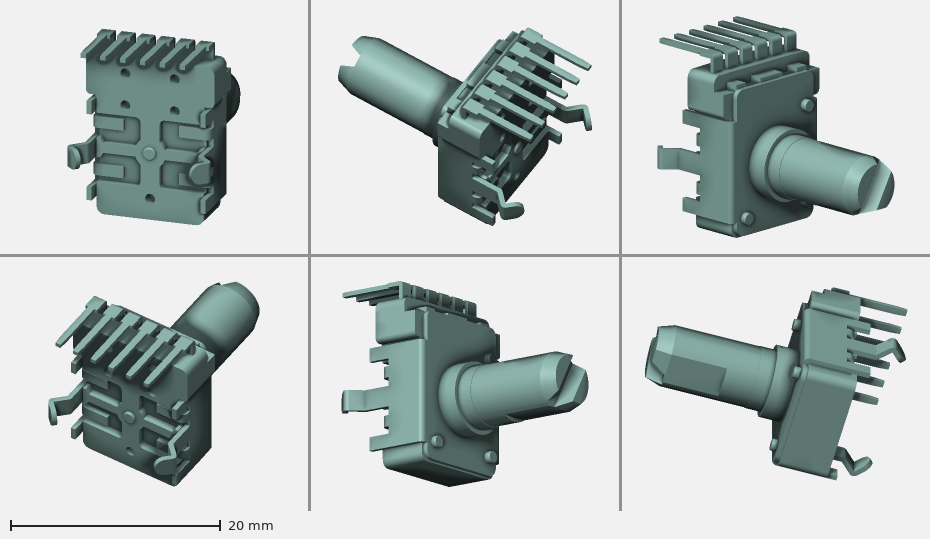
import cadquery as cq
import math


BODY_BACK = 4.8
SHEET = 0.5
COVER_BACK = BODY_BACK + SHEET
COLLAR_END = 7.33
SLEEVE_END = 8.83
SHAFT_TIP = 18.8

HEAD_HALF_WIDTH = 6.5
HEAD_TOP = 9.4
SHOULDER_TOP = 9.38
SHOULDER_START = 4.6
HEAD_BOTTOM = 5.3
HEAD_TOP_RADIUS = 0.8
HEAD_BOTTOM_RADIUS = 0.5
NECK_HALF_WIDTH = 5.5
BASE_HALF_WIDTH = 5.4
BASE_BOTTOM = -6.7
BASE_RADIUS = 0.79

LEDGE_START = 3.52
LEDGE_HIGH = 8.47
LEDGE_LOW = 7.83
LEDGE_GROOVE = 7.52
LEDGE_GROOVE_OUTER = 4.97
LEDGE_GROOVE_INNER = 4.75
LEDGE_NOTCH_OUTER = 3.47
LEDGE_NOTCH_INNER = 1.48

HOLE_DIAMETER = 1.0
HOLE_DEPTH = 1.43
HOLE_CENTERS = [(-2.5, 7.8), (2.5, 7.8), (-2.5, 4.57), (2.5, 4.57), (0, -4.6)]
HUB_DIAMETER = 1.3
HUB_TIP_DIAMETER = 1.0
HUB_HEIGHT = 0.3

POCKET_DEPTH = 0.79
POCKET_INNER_X = 0.98
POCKET_FAR_Z = 3.5
POCKET_NEAR_Z = 0.5
POCKET_EDGE_Z = 1.0
POCKET_SLOPE_INNER_X = 4.71
POCKET_SLOPE_OUTER_X = 5.05
POCKET_RADIUS = 0.5
HUB_CLEARANCE_RADIUS = 1.57

COVER_HALF_WIDTH = NECK_HALF_WIDTH + SHEET
COVER_HALF_HEIGHT = 5.02
SIDE_EDGE = 1.17
LEG_END = -1.17
LEG_INNER_Z = 3.7
TONGUE_HALF_WIDTH = 5.21
TONGUE_TOP = 8.05
TONGUE_TOP_RADIUS = 0.79
TONGUE_BOTTOM = -6.52
TONGUE_BOTTOM_RADIUS = 1.0

FINGER_INNER_X = 2.8
FINGER_Z = 2.4
FINGER_WIDTH = 1.1
FINGER_FRONT = POCKET_DEPTH - SHEET
FINGER_BEND_RADIUS = 0.65

TAB_HALF_WIDTH = 1.0
TAB_BEND_Y = -1.71
TAB_SPAN = 14.4
TAB_REACH = TAB_SPAN / 2
TAB_RETURN_LENGTH = 1.74

PIN_COUNT = 6
PIN_PITCH = 2.0
PIN_TOP = 11.19
PIN_BACK = 2.62
PIN_THICKNESS = 0.43
PIN_BEND_RADIUS = 0.4
PIN_WIDE = 1.3
PIN_WIDE_END = 0.83
PIN_NARROW = 0.7
PIN_TAPER_START = -4.05
PIN_TIP_WIDTH = 0.55
OVERALL_LENGTH = 23.8
PIN_TIP = SHAFT_TIP - OVERALL_LENGTH

COLLAR_DIAMETER = 7.1
SLEEVE_DIAMETER = 6.1
SHAFT_DIAMETER = 6.0
TIP_CHAMFER = 0.5
TIP_CHAMFER_START = 17.28
FLAT_START = 11.8
FLAT_Z = -2.57
SLOT_TIP_HALF_WIDTH = 1.1
SLOT_FLOOR_HALF_WIDTH = 0.6
SLOT_ANGLE = -30.0

POST_DIAMETER = 1.2
POST_TIP_DIAMETER = 1.1
POST_BEVEL_LENGTH = 0.21
POSTS = [(-4.05, 4.78, 5.95), (-4.05, -4.78, 5.95), (4.05, -4.78, 5.85)]


def block(x_min, x_max, y_min, y_max, z_min, z_max):
    """Box between the given limits."""
    size = (x_max - x_min, y_max - y_min, z_max - z_min)
    return cq.Workplane("XY").box(*size, centered=False).translate((x_min, y_min, z_min))


def plate(half_width, y_min, y_max, z_min, z_max):
    """Box centred on X = 0."""
    return block(-half_width, half_width, y_min, y_max, z_min, z_max)


def cylinder(diameter, y_min, y_max, x=0.0, z=0.0):
    """Cylinder along Y."""
    return cq.Workplane("XZ", origin=(x, y_min, z)).circle(diameter / 2).extrude(y_min - y_max)


def cone(start_diameter, end_diameter, y_start, y_end, x=0.0, z=0.0):
    """Truncated cone along Y."""
    profile = [(0, y_start), (start_diameter / 2, y_start), (end_diameter / 2, y_end), (0, y_end)]
    turned = cq.Workplane("XY").polyline(profile).close().revolve(360, (0, 0), (0, 1))
    return turned.translate((x, 0, z))


def mirrored_points(half):
    """Points of a right half followed by their mirror images, in order round the outline."""
    return half + [(-x, z) for x, z in reversed(half)]


def make_body():
    head = plate(HEAD_HALF_WIDTH, 0, BODY_BACK, HEAD_BOTTOM, HEAD_TOP)
    head = head.edges("|Y and >Z").fillet(HEAD_TOP_RADIUS)
    shoulder = block(SHOULDER_START, HEAD_HALF_WIDTH, 0, BODY_BACK, SHOULDER_TOP, HEAD_TOP)
    head = head.cut(shoulder).cut(shoulder.mirror("YZ"))
    head = head.edges("|Y and <Z").fillet(HEAD_BOTTOM_RADIUS)
    neck = plate(NECK_HALF_WIDTH, 0, BODY_BACK, COVER_HALF_HEIGHT, HEAD_BOTTOM)
    base = plate(BASE_HALF_WIDTH, 0, BODY_BACK, BASE_BOTTOM, COVER_HALF_HEIGHT)
    base = base.edges("|Y and <Z").fillet(BASE_RADIUS)
    body = head.union(neck).union(base).cut(make_ledge_space())
    for x, z in HOLE_CENTERS:
        body = body.cut(cylinder(HOLE_DIAMETER, 0, HOLE_DEPTH, x, z))
    upper_pocket = make_pocket()
    for pocket in (upper_pocket, upper_pocket.mirror("XY")):
        body = body.cut(pocket).cut(pocket.mirror("YZ"))
    hub = cylinder(HUB_DIAMETER, -HUB_HEIGHT, 0)
    hub = hub.faces("<Y").edges().fillet((HUB_DIAMETER - HUB_TIP_DIAMETER) / 2)
    return body.union(hub)


def make_ledge_space():
    """Space above the ledge: low ends, grooves beside the high middle and two notches in it."""
    half = [
        (HEAD_HALF_WIDTH, HEAD_TOP),
        (HEAD_HALF_WIDTH, LEDGE_LOW),
        (LEDGE_GROOVE_OUTER, LEDGE_LOW),
        (LEDGE_GROOVE_OUTER, LEDGE_GROOVE),
        (LEDGE_GROOVE_INNER, LEDGE_GROOVE),
        (LEDGE_GROOVE_INNER, LEDGE_HIGH),
        (LEDGE_NOTCH_OUTER, LEDGE_HIGH),
        (LEDGE_NOTCH_OUTER, LEDGE_LOW),
        (LEDGE_NOTCH_INNER, LEDGE_LOW),
        (LEDGE_NOTCH_INNER, LEDGE_HIGH),
    ]
    outline = cq.Workplane("XZ", origin=(0, LEDGE_START, 0))
    outline = outline.polyline(mirrored_points(half)).close()
    return outline.extrude(LEDGE_START - BODY_BACK)


def make_pocket():
    """Pocket in the +X, +Z quarter, open at the side and rounded clear of the hub."""
    outline = [
        (BASE_HALF_WIDTH, POCKET_FAR_Z),
        (POCKET_INNER_X, POCKET_FAR_Z),
        (POCKET_INNER_X, POCKET_NEAR_Z),
        (POCKET_SLOPE_INNER_X, POCKET_NEAR_Z),
        (POCKET_SLOPE_OUTER_X, POCKET_EDGE_Z),
        (BASE_HALF_WIDTH, POCKET_EDGE_Z),
    ]
    pocket = cq.Workplane("XZ").polyline(outline).close().extrude(-POCKET_DEPTH)
    pocket = pocket.edges("|Y and <X and >Z").fillet(POCKET_RADIUS)
    return pocket.cut(cylinder(2 * HUB_CLEARANCE_RADIUS, 0, POCKET_DEPTH))


def make_cover():
    channel = plate(COVER_HALF_WIDTH, LEG_END, COVER_BACK, -COVER_HALF_HEIGHT, COVER_HALF_HEIGHT)
    channel = channel.edges("|Z and >Y").fillet(SHEET)
    channel = channel.cut(
        plate(NECK_HALF_WIDTH, LEG_END, BODY_BACK, -COVER_HALF_HEIGHT, COVER_HALF_HEIGHT)
    )
    channel = channel.cut(plate(COVER_HALF_WIDTH, LEG_END, SIDE_EDGE, -LEG_INNER_Z, LEG_INNER_Z))
    tongue = plate(TONGUE_HALF_WIDTH, BODY_BACK, COVER_BACK, TONGUE_BOTTOM, TONGUE_TOP)
    tongue = tongue.edges("|Y and >Z").fillet(TONGUE_TOP_RADIUS)
    tongue = tongue.edges("|Y and <Z").fillet(TONGUE_BOTTOM_RADIUS)
    cover = channel.union(tongue)
    tab = make_tab()
    cover = cover.union(tab).union(tab.mirror("YZ"))
    for finger_z in (-FINGER_Z, FINGER_Z):
        finger = make_finger(finger_z)
        cover = cover.union(finger).union(finger.mirror("YZ"))
    return cover


def make_finger(z):
    """Finger on the +X side, folded over the pocket floor."""
    z_min = z - FINGER_WIDTH / 2
    z_max = z + FINGER_WIDTH / 2
    outer = block(FINGER_INNER_X, COVER_HALF_WIDTH, FINGER_FRONT, SIDE_EDGE, z_min, z_max)
    outer = outer.edges("|Z and >X and <Y").fillet(FINGER_BEND_RADIUS)
    inside = block(FINGER_INNER_X, NECK_HALF_WIDTH, POCKET_DEPTH, SIDE_EDGE, z_min, z_max)
    return outer.cut(inside)


def make_tab():
    """Snap-in tab on the +X side: out at 45 degrees, round an elbow and back to a round end."""
    diagonal = SHEET / math.sqrt(2)
    elbow_x = TAB_REACH - SHEET
    elbow_y = TAB_BEND_Y + COVER_HALF_WIDTH - math.sqrt(2) * SHEET - elbow_x
    strip = (
        cq.Workplane("XY", origin=(0, 0, -TAB_HALF_WIDTH))
        .moveTo(NECK_HALF_WIDTH, SIDE_EDGE)
        .lineTo(COVER_HALF_WIDTH, SIDE_EDGE)
        .lineTo(COVER_HALF_WIDTH, TAB_BEND_Y)
        .lineTo(elbow_x + diagonal, elbow_y + diagonal)
        .threePointArc((TAB_REACH, elbow_y), (elbow_x + diagonal, elbow_y - diagonal))
        .lineTo(elbow_x, elbow_y)
        .lineTo(COVER_HALF_WIDTH - diagonal, TAB_BEND_Y - diagonal)
        .radiusArc((NECK_HALF_WIDTH, TAB_BEND_Y), SHEET)
        .close()
        .extrude(2 * TAB_HALF_WIDTH)
    )
    straight = TAB_RETURN_LENGTH - TAB_HALF_WIDTH
    return_plane = cq.Plane(origin=(elbow_x, elbow_y, 0), xDir=(-1, -1, 0), normal=(1, -1, 0))
    flat = (
        cq.Workplane(return_plane)
        .moveTo(0, -TAB_HALF_WIDTH)
        .lineTo(straight, -TAB_HALF_WIDTH)
        .threePointArc((TAB_RETURN_LENGTH, 0), (straight, TAB_HALF_WIDTH))
        .lineTo(0, TAB_HALF_WIDTH)
        .close()
        .extrude(SHEET)
    )
    return strip.union(flat)


def make_pin(x):
    """Bent terminal pin: an upright foot, then a stepped and tapered blade towards -Y."""
    bent = block(-PIN_WIDE / 2, PIN_WIDE / 2, PIN_TIP, PIN_BACK, SHOULDER_TOP, PIN_TOP)
    bent = bent.edges("|X and >Y and >Z").fillet(PIN_BEND_RADIUS)
    bent = bent.cut(
        plate(PIN_WIDE / 2, PIN_TIP, PIN_BACK - PIN_THICKNESS, SHOULDER_TOP, PIN_TOP - PIN_THICKNESS)
    )
    half = [
        (PIN_WIDE / 2, PIN_BACK),
        (PIN_WIDE / 2, PIN_WIDE_END),
        (PIN_NARROW / 2, PIN_WIDE_END),
        (PIN_NARROW / 2, PIN_TAPER_START),
        (PIN_TIP_WIDTH / 2, PIN_TIP),
    ]
    blade = cq.Workplane("XY", origin=(0, 0, SHOULDER_TOP)).polyline(mirrored_points(half)).close()
    return bent.intersect(blade.extrude(PIN_TOP - SHOULDER_TOP)).translate((x, 0, 0))


def make_shaft():
    shaft = cylinder(SHAFT_DIAMETER, SLEEVE_END, TIP_CHAMFER_START)
    tip_diameter = SHAFT_DIAMETER - 2 * TIP_CHAMFER
    shaft = shaft.union(cone(SHAFT_DIAMETER, tip_diameter, TIP_CHAMFER_START, SHAFT_TIP))
    below_flat = [
        (FLAT_START, FLAT_Z),
        (TIP_CHAMFER_START, FLAT_Z),
        (SHAFT_TIP, FLAT_Z + TIP_CHAMFER),
        (SHAFT_TIP, -SHAFT_DIAMETER),
        (FLAT_START, -SHAFT_DIAMETER),
    ]
    flat = cq.Workplane("YZ").polyline(below_flat).close().extrude(SHAFT_DIAMETER, both=True)
    slot_section = [
        (-SLOT_TIP_HALF_WIDTH, SHAFT_TIP),
        (-SLOT_FLOOR_HALF_WIDTH, TIP_CHAMFER_START),
        (SLOT_FLOOR_HALF_WIDTH, TIP_CHAMFER_START),
        (SLOT_TIP_HALF_WIDTH, SHAFT_TIP),
    ]
    slot = cq.Workplane("XY").polyline(slot_section).close().extrude(SHAFT_DIAMETER, both=True)
    slot = slot.rotate((0, 0, 0), (0, 1, 0), SLOT_ANGLE)
    shaft = shaft.cut(flat).cut(slot)
    collar = cylinder(COLLAR_DIAMETER, COVER_BACK, COLLAR_END)
    sleeve = cylinder(SLEEVE_DIAMETER, COLLAR_END, SLEEVE_END)
    return collar.union(sleeve).union(shaft)


def make_post(x, z, post_end):
    bevel_start = post_end - POST_BEVEL_LENGTH
    post = cylinder(POST_DIAMETER, COVER_BACK, bevel_start, x, z)
    return post.union(cone(POST_DIAMETER, POST_TIP_DIAMETER, bevel_start, post_end, x, z))


result = make_body().union(make_cover()).union(make_shaft())
for post_x, post_z, post_end in POSTS:
    result = result.union(make_post(post_x, post_z, post_end))
for index in range(PIN_COUNT):
    result = result.union(make_pin((index - (PIN_COUNT - 1) / 2) * PIN_PITCH))